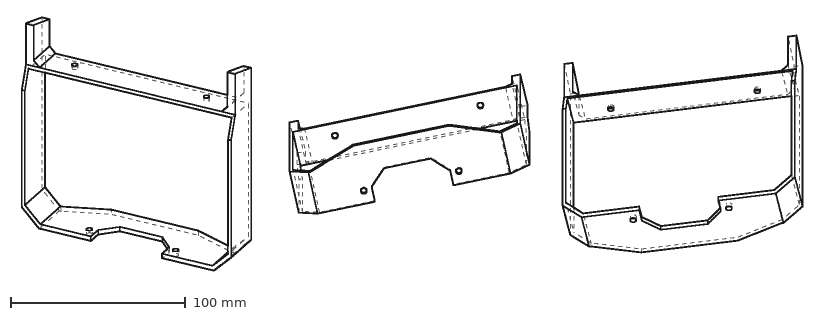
import cadquery as cq
import math

width = 135.0
height = 127.0
frame_depth = 25.0
tab_depth = 10.0
half_width = width / 2
front_y = -(frame_depth + tab_depth) / 2
back_y = front_y + frame_depth

wall = 2.0
floor_thickness = 3.0
shelf_top = 100.8
inner_corner = 10.0
outer_corner = 11.1

post_width = 5.0
gusset = 3.8
post_setback = 5.1
tip_flat = 1.4
tip_drop = 5.0
front_slope_angle = math.radians(20)

tab_slope_angle = math.radians(20)
notch_width = 45.9
notch_side_depth = 8.9
notch_corner = 9.3

hole_diameter = 3.4
shelf_hole_spacing = 85.0
shelf_hole_from_back = 7.4
floor_hole_from_notch = 4.9
floor_hole_from_front = 7.5


def mirrored_outline(plane, right_half):
    """Closed outline from its right half, listed from one end to the other."""
    left_half = [(-x, y) for x, y in reversed(right_half)]
    return cq.Workplane(plane).polyline(right_half + left_half).close()


def make_frame():
    """Extrude the posts, shelf and walls, then remove the window."""
    outside = [
        (half_width - outer_corner, 0),
        (half_width, outer_corner),
        (half_width, height),
        (half_width - post_width, height),
        (half_width - post_width, shelf_top + gusset),
        (half_width - post_width - gusset, shelf_top),
    ]
    window_half = half_width - wall
    window = [
        (window_half - inner_corner, floor_thickness),
        (window_half, floor_thickness + inner_corner),
        (window_half, shelf_top - wall),
    ]
    body = mirrored_outline("XZ", outside).extrude(-frame_depth)
    opening = mirrored_outline("XZ", window).extrude(-frame_depth)
    return body.cut(opening).translate((0, front_y, 0))


def make_side_envelope():
    """Side profile with the sloped post tips and set-back upper front."""
    post_front = front_y + post_setback
    slope_height = post_setback / math.tan(front_slope_angle)
    profile = [
        (front_y, 0),
        (front_y, shelf_top - slope_height),
        (post_front, shelf_top),
        (post_front, height),
        (post_front + tip_flat, height),
        (back_y, height - tip_drop),
        (back_y, 0),
    ]
    return cq.Workplane("YZ").polyline(profile).close().extrude(half_width, both=True)


def make_back_tab():
    """Tapered extension of the floor behind the frame."""
    base_half = half_width - wall - inner_corner
    tip_half = base_half - tab_depth / math.tan(tab_slope_angle)
    outline = [(base_half, back_y), (tip_half, back_y + tab_depth)]
    return mirrored_outline("XY", outline).extrude(floor_thickness)


def make_floor_notch():
    """Front cut-out of the floor, with angled inner corners."""
    notch_half = notch_width / 2
    side_end = front_y + notch_side_depth
    outline = [
        (notch_half, front_y),
        (notch_half, side_end),
        (notch_half - notch_corner, side_end + notch_corner),
    ]
    return mirrored_outline("XY", outline).extrude(floor_thickness)


def make_hole_pair(spacing, y, bottom, thickness):
    """Cutters for two vertical through holes, symmetric about X = 0."""
    centers = [(-spacing / 2, y), (spacing / 2, y)]
    plane = cq.Workplane("XY").workplane(offset=bottom)
    return plane.pushPoints(centers).circle(hole_diameter / 2).extrude(thickness)


shelf_holes = make_hole_pair(shelf_hole_spacing, back_y - shelf_hole_from_back, shelf_top - wall, wall)
floor_hole_spacing = notch_width + 2 * floor_hole_from_notch
floor_holes = make_hole_pair(floor_hole_spacing, front_y + floor_hole_from_front, 0, floor_thickness)

result = make_frame().intersect(make_side_envelope())
result = result.union(make_back_tab())
result = result.cut(make_floor_notch()).cut(shelf_holes).cut(floor_holes)